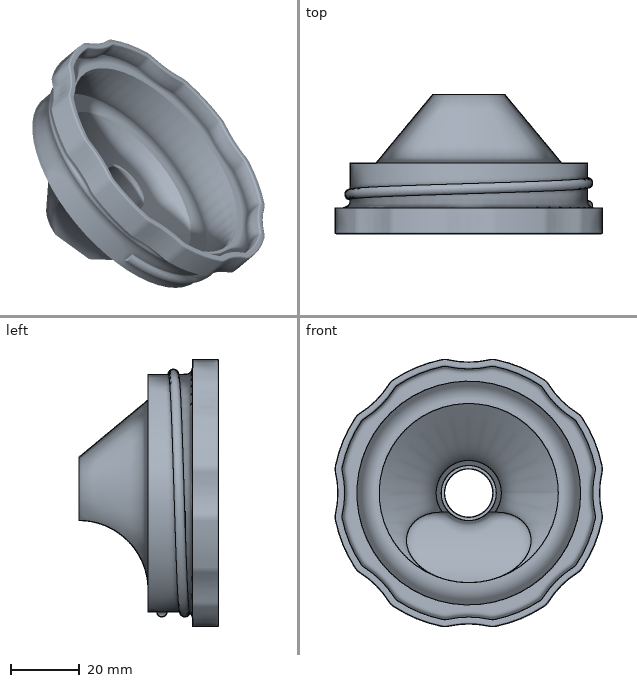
import cadquery as cq
import math


rim_height = 7.5
body_height = 13.0
cone_height = 20.0
body_end = rim_height + body_height
tip_end = body_end + cone_height

rim_half_width = 38.8
lobe_radius = 39.5
scallop_floor = 38.05
scallop_corner = 5.0
scallop_count = 8
rim_wall = 2.0
rim_depth = 5.05
rim_edge_fillet = 0.5

body_radius = 69.0 / 2
body_wall = 2.0
body_fillet = 2.0

thread_radius = 1.5
thread_pitch = 6.7
thread_turns = 1.25
thread_start = 16.45

cone_base_radius = 27.0
cone_tip_radius = 10.4
cavity_floor = 18.0
tip_wall = 2.0
cavity_base_radius = 26.0
cavity_tip_radius = 9.5

scoop_wall = 2.5

bore_radius = 7.0
tube_radius = 8.0
tube_length = 22.05


def revolved(profile):
    """Solid of revolution about Y from (radius, height) points."""
    return cq.Workplane("XY").polyline(profile).close().revolve(360, (0, 0, 0), (0, 1, 0))


def rod(radius, start, end):
    """Round bar along the part axis."""
    return revolved([(0, start), (radius, start), (radius, end), (0, end)])


def scallop_outline():
    """Closed rim outline: lobes on one circle, hollows between them, rounded where the two meet."""
    corner_reach = lobe_radius - scallop_corner
    corner_height = rim_half_width - scallop_corner
    corner_angle = math.acos(corner_height / corner_reach)
    corner_offset = corner_reach * math.sin(corner_angle)
    gap = scallop_floor - corner_height
    hollow_radius = (gap**2 + corner_offset**2 - scallop_corner**2) / (2 * (scallop_corner - gap))
    hollow_center = scallop_floor + hollow_radius
    hollow_angle = math.atan2(corner_offset, hollow_center - corner_height)

    hollow_end = (
        hollow_radius * math.sin(hollow_angle),
        hollow_center - hollow_radius * math.cos(hollow_angle),
    )
    corner_top = (corner_offset, rim_half_width)
    lobe_begin = (lobe_radius * math.sin(corner_angle), lobe_radius * math.cos(corner_angle))
    step = 2 * math.pi / scallop_count
    lobe_middle = (lobe_radius * math.sin(step / 2), lobe_radius * math.cos(step / 2))

    def turned(point, index):
        angle = index * step
        x, z = point
        return (
            x * math.cos(angle) + z * math.sin(angle),
            z * math.cos(angle) - x * math.sin(angle),
        )

    def mirrored(point):
        return (-point[0], point[1])

    outline = cq.Workplane("XZ").moveTo(*mirrored(hollow_end))
    for index in range(scallop_count):
        following = index + 1
        outline = (
            outline.threePointArc(turned((0, scallop_floor), index), turned(hollow_end, index))
            .threePointArc(turned(corner_top, index), turned(lobe_begin, index))
            .threePointArc(turned(lobe_middle, index), turned(mirrored(lobe_begin), following))
            .threePointArc(
                turned(mirrored(corner_top), following), turned(mirrored(hollow_end), following)
            )
        )
    return outline.close()


def scoop(radius, top, height):
    """Cylinder along X: its axis lies at the given height and its crest at Z = -top."""
    return (
        cq.Workplane("YZ")
        .center(height, -top - radius)
        .circle(radius)
        .extrude(lobe_radius, both=True)
    )


def make_rim():
    """Grip rim with a pocket that follows its outline and softened front edges."""
    rim = scallop_outline().extrude(-rim_height)
    pocket = scallop_outline().offset2D(-rim_wall).extrude(-rim_depth)
    return rim.cut(pocket).faces("<Y").edges().fillet(rim_edge_fillet)


def make_flare():
    """Ring that blends the body into the back of the rim with a concave arc."""
    inner_radius = body_radius - body_wall / 2
    flare_radius = body_radius + body_fillet
    flare_end = rim_height + body_fillet
    diagonal = body_fillet * math.sqrt(0.5)
    return (
        cq.Workplane("XY")
        .moveTo(inner_radius, rim_height)
        .lineTo(flare_radius, rim_height)
        .threePointArc((flare_radius - diagonal, flare_end - diagonal), (body_radius, flare_end))
        .lineTo(inner_radius, flare_end)
        .close()
        .revolve(360, (0, 0, 0), (0, 1, 0))
    )


def make_thread():
    """Ridge of round section, half sunk in the body, winding from -Z down to +X."""
    height = thread_pitch * thread_turns
    path = cq.Wire.makeHelix(thread_pitch, height, body_radius)
    ridge = (
        cq.Workplane("XZ", origin=(body_radius, 0, 0))
        .circle(thread_radius)
        .sweep(cq.Workplane(path), isFrenet=True)
    )
    return (
        ridge.rotate((0, 0, 0), (1, 0, 0), 90)
        .rotate((0, 0, 0), (0, 1, 0), 90)
        .translate((0, thread_start, 0))
    )


def make_cone():
    """Solid cone with the scoop taken out of its lower side."""
    cone = revolved(
        [(0, body_end), (cone_base_radius, body_end), (cone_tip_radius, tip_end), (0, tip_end)]
    )
    return cone.cut(scoop(cone_height, tube_radius, tip_end))


def make_funnel_cavity():
    """Conical hollow inside the cone, leaving a curved wall along the scoop."""
    ceiling = tip_end - tip_wall
    funnel = revolved(
        [
            (0, cavity_floor),
            (cavity_base_radius, cavity_floor),
            (cavity_tip_radius, ceiling),
            (0, ceiling),
        ]
    )
    return funnel.cut(scoop(ceiling - cavity_floor, tube_radius - scoop_wall, ceiling))


result = rod(body_radius, rim_depth, body_end).union(make_thread())
result = result.union(make_flare()).union(make_rim()).union(make_cone())
result = result.cut(rod(body_radius - body_wall, 0, cavity_floor))
result = result.cut(make_funnel_cavity())
result = result.union(rod(tube_radius, tip_end - tube_length, tip_end))
result = result.cut(rod(bore_radius, 0, tip_end))